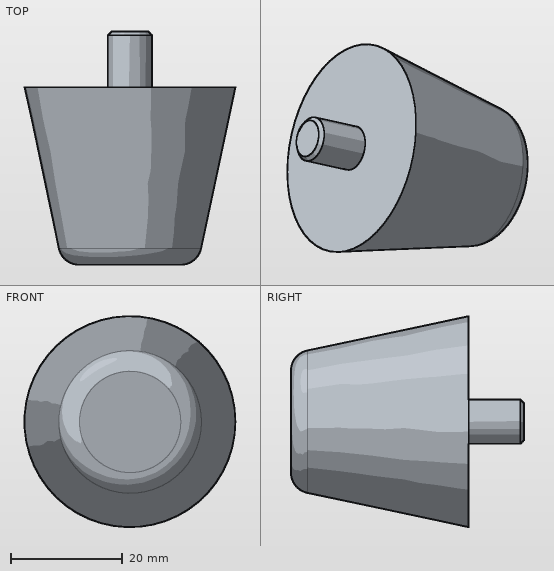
import cadquery as cq
import math


base_diameter = 38.0
buffer_length = 32.0
side_angle = 12.0
nose_fillet = 3.8
end_radius = base_diameter / 2 - buffer_length * math.tan(math.radians(side_angle))

stud_diameter = 8.0
stud_length = 10.0
tip_chamfer = 0.7


def make_buffer():
    """Solid cone narrowing towards -Y, with its small end rounded over."""
    half_profile = (
        cq.Workplane("XY")
        .lineTo(base_diameter / 2, 0)
        .lineTo(end_radius, -buffer_length)
        .lineTo(0, -buffer_length)
        .close()
    )
    cone = half_profile.revolve(360, (0, 0, 0), (0, 1, 0))
    return cone.faces("<Y").edges().fillet(nose_fillet)


def make_stud():
    """Plain round stud standing on the buffer's base, chamfered at its tip."""
    rod = cq.Workplane("XZ").circle(stud_diameter / 2).extrude(-stud_length)
    return rod.faces(">Y").edges().chamfer(tip_chamfer)


buffer = make_buffer()
stud = make_stud()

result = cq.Compound.makeCompound([buffer.val(), stud.val()])